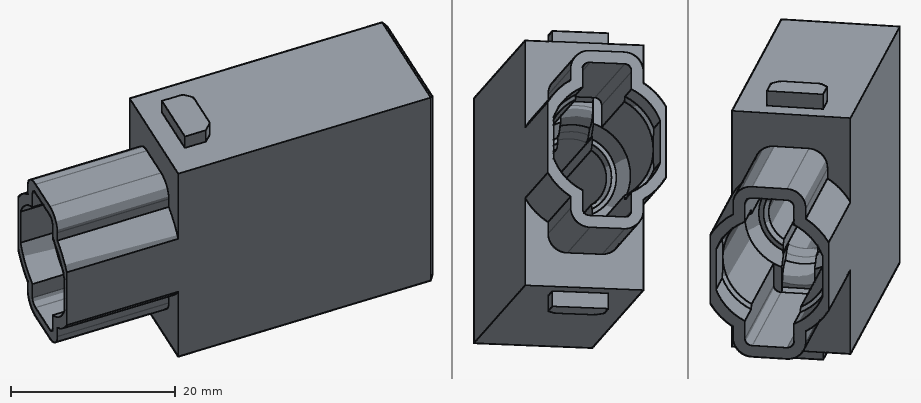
import cadquery as cq
import math

length = 48.7
width = 14.6
body_height = 30.4
collar_length = 14.75
rear_chamfer = 0.5

tab_width = 6.9
tab_height = 1.9
tab_front = 17.35
tab_length = 3.75
tab_chamfer = 0.95

wall = 1.45
collar_radius = 8.5
lobe_width = 8.95
lobe_height = 21.9
lobe_corner = 2.35

mouth_radius = collar_radius - wall
mouth_depth = 4.25
lead_in_length = 0.4
bore_radius = 6.57
bore_depth = 19.5

seat_radius = 5.1
rear_hole_radius = 4.0
rear_hole_chamfer = 0.55

slot_width = 4.25
guide_width = 4.05
guide_chamfer = 0.5
guide_round = 2.0
guide_throat_radius = bore_radius
guide_slot_radius = 5.3


def block(size_x, y_start, y_end, size_z):
    """Box centred on the Y axis between two stations."""
    return cq.Workplane("XY").box(size_x, y_end - y_start, size_z).translate((0, (y_start + y_end) / 2, 0))


def cylinder(radius, y_start, y_end):
    """Cylinder on the Y axis between two stations."""
    return cq.Workplane("XZ", origin=(0, y_start, 0)).circle(radius).extrude(y_start - y_end)


def cone(front_radius, back_radius, y_start, y_end):
    """Tapered plug on the Y axis between two stations."""
    outline = [(0, y_start), (front_radius, y_start), (back_radius, y_end), (0, y_end)]
    return cq.Workplane("XY").polyline(outline).close().revolve(360, (0, 0), (0, 1))


def lobes(size_x, size_z, corner, y_end):
    """Rounded bar that forms the upper and lower lobes."""
    return block(size_x, 0, y_end, size_z).edges("|Y").fillet(corner)


def make_body():
    body = block(width, collar_length, length, body_height)
    return body.faces(">Y").edges().chamfer(rear_chamfer)


def make_tabs():
    tabs = block(tab_width, tab_front, tab_front + tab_length, body_height + 2 * tab_height)
    return tabs.faces(">Y").edges("|Z").chamfer(tab_chamfer)


def make_collar():
    tube = cylinder(collar_radius, 0, collar_length).intersect(block(width, 0, collar_length, body_height))
    return tube.union(lobes(lobe_width, lobe_height, lobe_corner, collar_length))


def make_opening():
    """Mouth with flat sides tangent to the bore, the bore, and the hollow lobes."""
    mouth_end = mouth_depth + lead_in_length
    mouth = cylinder(mouth_radius, 0, mouth_depth)
    mouth = mouth.union(cone(mouth_radius, bore_radius, mouth_depth, mouth_end))
    mouth = mouth.intersect(block(2 * bore_radius, 0, mouth_end, body_height))
    bore = cylinder(bore_radius, 0, bore_depth)
    hollow_lobes = lobes(lobe_width - 2 * wall, lobe_height - 2 * wall, lobe_corner - wall, bore_depth)
    return mouth.union(bore).union(hollow_lobes)


def make_rear_hole():
    """45 degree seat, chamfer and through hole, with a straight slot across them."""
    seat_end = bore_depth + bore_radius - seat_radius
    chamfer_end = seat_end + rear_hole_chamfer
    seat = cone(bore_radius, seat_radius, bore_depth, seat_end)
    chamfer = cone(rear_hole_radius + rear_hole_chamfer, rear_hole_radius, seat_end, chamfer_end)
    hole = cylinder(rear_hole_radius, bore_depth, length)
    slot = cylinder(guide_slot_radius, bore_depth, length)
    slot = slot.intersect(block(slot_width, bore_depth, length, body_height))
    return seat.union(chamfer).union(hole).union(slot)


def make_guides():
    """Entry of the slots: chamfered edge, ledge, rounded throat, 45 degree seat and rounded exit."""
    ledge = bore_depth + guide_chamfer
    ledge_radius = guide_throat_radius + guide_round
    throat = ledge + guide_round

    throat_half_turn = math.radians(45)
    exit_half_turn = throat_half_turn / 2
    lean = guide_round * math.sin(throat_half_turn)
    exit_start_radius = guide_slot_radius + guide_round - lean
    exit_start = throat + guide_throat_radius - exit_start_radius
    exit_end = exit_start + lean
    throat_middle = (ledge_radius - lean, throat - lean)
    exit_middle = (
        guide_slot_radius + guide_round * (1 - math.cos(exit_half_turn)),
        exit_end - guide_round * math.sin(exit_half_turn),
    )
    profile = (
        cq.Workplane("XY")
        .moveTo(0, ledge)
        .lineTo(ledge_radius, ledge)
        .threePointArc(throat_middle, (guide_throat_radius, throat))
        .lineTo(exit_start_radius, exit_start)
        .threePointArc(exit_middle, (guide_slot_radius, exit_end))
        .lineTo(0, exit_end)
        .close()
    )
    funnel = profile.revolve(360, (0, 0), (0, 1))
    funnel = funnel.intersect(block(guide_width, ledge, exit_end, body_height))

    top = lobe_height / 2 - wall
    ledge_top = top - guide_chamfer
    entry_outline = [(bore_depth, top), (ledge, ledge_top), (ledge, -ledge_top), (bore_depth, -top)]
    entry = cq.Workplane("YZ").polyline(entry_outline).close().extrude(guide_width / 2, both=True)
    return funnel.union(entry)


result = make_body().union(make_tabs()).union(make_collar())
result = result.cut(make_opening()).cut(make_rear_hole()).cut(make_guides())